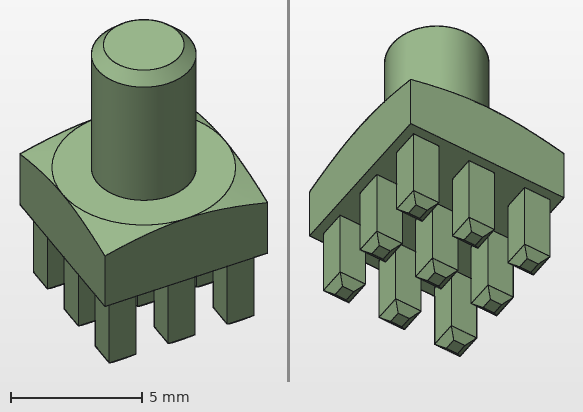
import cadquery as cq
import math

body_width = 7.0
body_height = 3.0
pin_length = 3.5
stud_length = 6.0
stud_diameter = 4.0
stud_chamfer = 0.46
pin_width = 1.16
pin_pitch = 2.54
pins_per_side = 3
pin_chamfer = 0.32
crown_angle = 20.0

body_top = pin_length + body_height


def make_body():
    """Square block whose upper corners are cut by a cone touching each side."""
    block = (
        cq.Workplane("XY")
        .workplane(offset=pin_length)
        .rect(body_width, body_width)
        .extrude(body_height)
    )
    inner_radius = body_width / 2
    outer_radius = body_width
    cone_drop = (outer_radius - inner_radius) * math.tan(math.radians(crown_angle))
    envelope = (
        cq.Workplane("XZ")
        .moveTo(0, 0)
        .lineTo(outer_radius, 0)
        .lineTo(outer_radius, body_top - cone_drop)
        .lineTo(inner_radius, body_top)
        .lineTo(0, body_top)
        .close()
        .revolve(360, (0, 0, 0), (0, 1, 0))
    )
    return block.intersect(envelope)


def make_stud():
    """Round stud with a chamfered top edge."""
    return (
        cq.Workplane("XY")
        .workplane(offset=body_top)
        .circle(stud_diameter / 2)
        .extrude(stud_length)
        .faces(">Z")
        .chamfer(stud_chamfer)
    )


def make_pins():
    """Square grid of square pins with chamfered tips."""
    return (
        cq.Workplane("XY")
        .rarray(pin_pitch, pin_pitch, pins_per_side, pins_per_side)
        .rect(pin_width, pin_width)
        .extrude(pin_length)
        .faces("<Z")
        .chamfer(pin_chamfer)
    )


result = make_body().union(make_stud()).union(make_pins())